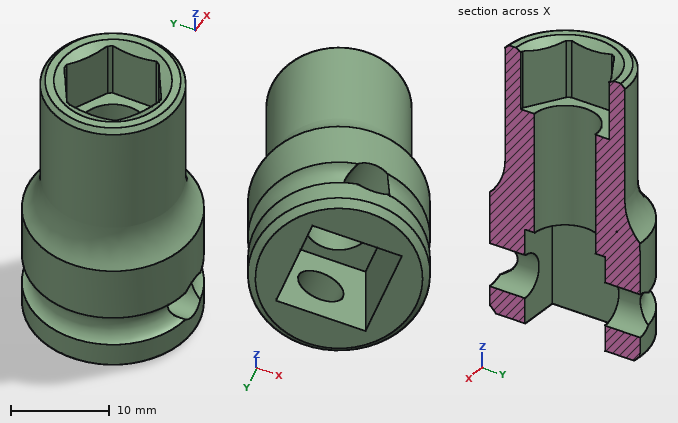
import cadquery as cq
import math

height = 32.0
body_radius = 18.5 / 2
neck_radius = 14.8 / 2
base_chamfer = 0.77
rim_chamfer_width = 0.5
rim_chamfer_height = 0.48

shoulder_bottom = 14.0
shoulder_radius = 6.0

groove_height = 5.5
groove_radius = 2.0
groove_depth = 1.3
cross_hole_diameter = 5.0

hex_across_flats = 9.6
hex_corner_diameter = 10.8
hex_depth = 7.0
mouth_diameter = 12.0
mouth_slope = 30.0
bore_diameter = 7.5

drive_width = 9.8
drive_depth = 11.0


def make_body():
    """Revolve the outer profile, including shoulder, groove and chamfers."""
    groove_half_width = math.sqrt(groove_radius**2 - (groove_radius - groove_depth) ** 2)
    shoulder_centre_r = neck_radius + shoulder_radius
    shoulder_height = math.sqrt(shoulder_radius**2 - (shoulder_centre_r - body_radius) ** 2)
    shoulder_top = shoulder_bottom + shoulder_height
    mid_angle = math.asin(shoulder_height / shoulder_radius) / 2
    shoulder_mid = (
        shoulder_centre_r - shoulder_radius * math.cos(mid_angle),
        shoulder_top - shoulder_radius * math.sin(mid_angle),
    )
    return (
        cq.Workplane("XZ")
        .lineTo(body_radius - base_chamfer, 0)
        .lineTo(body_radius, base_chamfer)
        .lineTo(body_radius, groove_height - groove_half_width)
        .threePointArc(
            (body_radius - groove_depth, groove_height),
            (body_radius, groove_height + groove_half_width),
        )
        .lineTo(body_radius, shoulder_bottom)
        .threePointArc(shoulder_mid, (neck_radius, shoulder_top))
        .lineTo(neck_radius, height - rim_chamfer_height)
        .lineTo(neck_radius - rim_chamfer_width, height)
        .lineTo(0, height)
        .close()
        .revolve(360, (0, 0, 0), (0, 1, 0))
    )


def make_hex_socket():
    """Hexagon with flats facing +X and -X and corners trimmed by a cylinder."""
    sharp_corner_diameter = hex_across_flats / math.cos(math.radians(30))
    floor = cq.Workplane("XY").workplane(offset=height - hex_depth)
    hexagon = floor.transformed(rotate=(0, 0, 30)).polygon(6, sharp_corner_diameter).extrude(hex_depth)
    corner_trim = floor.circle(hex_corner_diameter / 2).extrude(hex_depth)
    return hexagon.intersect(corner_trim)


def make_mouth_cone():
    """Conical lead-in, its sides sloping down from the top face to the axis."""
    mouth_radius = mouth_diameter / 2
    cone_depth = mouth_radius * math.tan(math.radians(mouth_slope))
    return (
        cq.Workplane("XZ")
        .moveTo(0, height)
        .lineTo(mouth_radius, height)
        .lineTo(0, height - cone_depth)
        .close()
        .revolve(360, (0, 0, 0), (0, 1, 0))
    )


def make_cross_hole():
    """Cylinder along Y passing right through the body."""
    return (
        cq.Workplane("XZ")
        .center(0, groove_height)
        .circle(cross_hole_diameter / 2)
        .extrude(body_radius, both=True)
    )


bore = cq.Workplane("XY").circle(bore_diameter / 2).extrude(height)
drive_recess = cq.Workplane("XY").rect(drive_width, drive_width).extrude(drive_depth)

result = (
    make_body()
    .cut(bore)
    .cut(drive_recess)
    .cut(make_hex_socket())
    .cut(make_mouth_cone())
    .cut(make_cross_hole())
)